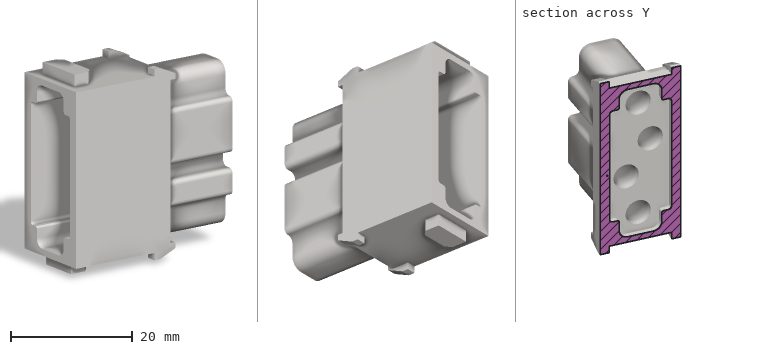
import cadquery as cq

body_width = 14.6
body_depth = 19.1
body_height = 30.2

cavity_width = 11.0
cavity_middle_height = 21.05
cavity_end_width = 7.57
cavity_height = 27.95
cavity_end_radius = 1.45
cavity_ledge_outer_radius = 0.5
cavity_ledge_inner_radius = 0.38
back_wall = (body_width - cavity_width) / 2
cavity_depth = body_depth - back_wall

overall_depth = 32.6
block_width = 11.75
block_middle_height = 16.82
block_end_width = 7.77
block_height = 27.95
block_end_radius = 2.1
block_outer_radius = 0.83
block_inner_radius = 1.1

groove_z = 2.5
groove_height = 2.75
groove_floor_x = 3.15

bore_diameter = 4.5
bore_pair_centres = [(0, 10.42), (2.15, 3.13)]

overall_height = 34.4
top_lug_width = 9.0
bottom_lug_width = 7.02
lug_front_y = 1.65
lug_back_y = 5.45
lug_chamfer = 1.0

clip_width = 1.72
clip_front_y = 15.8
clip_ridge_y = 17.0
clip_back_y = 20.02
clip_top_z = 16.35
clip_tip_z = 15.0
clip_underside_z = block_height / 2

TOLERANCE = 0.005


def slab(width, height, start_y, end_y):
    """Rectangular block centred on X and Z between two Y positions."""
    return (
        cq.Workplane("XZ", origin=(0, start_y, 0))
        .rect(width, height)
        .extrude(start_y - end_y)
    )


def round_edges(solid, half_width, radius, max_z):
    """Fillet the Y-parallel edges at |X| = half_width that lie within |Z| < max_z."""

    def is_wanted(edge):
        centre = edge.Center()
        return abs(abs(centre.x) - half_width) < TOLERANCE and abs(centre.z) < max_z

    return solid.edges("|Y").filter(is_wanted).fillet(radius)


def stepped_block(width, middle_height, end_width, end_height, end_radius, start_y, end_y):
    """Wide middle block joined to a taller, narrower block with rounded corners."""
    middle = slab(width, middle_height, start_y, end_y)
    ends = slab(end_width, end_height, start_y, end_y).edges("|Y").fillet(end_radius)
    return middle.union(ends)


def make_cavity():
    cavity = stepped_block(
        cavity_width, cavity_middle_height, cavity_end_width, cavity_height,
        cavity_end_radius, 0, cavity_depth,
    )
    step_limit = cavity_middle_height / 2 + TOLERANCE
    cavity = round_edges(cavity, cavity_width / 2, cavity_ledge_outer_radius, step_limit)
    return round_edges(cavity, cavity_end_width / 2, cavity_ledge_inner_radius, step_limit)


def make_contact_block():
    block = stepped_block(
        block_width, block_middle_height, block_end_width, block_height,
        block_end_radius, body_depth, overall_depth,
    )
    groove_depth = block_width / 2 - groove_floor_x
    groove_x = groove_floor_x + groove_depth / 2
    for side in (-1, 1):
        groove = slab(groove_depth, groove_height, body_depth, overall_depth)
        block = block.cut(groove.translate((side * groove_x, 0, -side * groove_z)))
    step_limit = block_middle_height / 2 + TOLERANCE
    block = round_edges(block, block_end_width / 2, block_inner_radius, step_limit)
    block = round_edges(block, groove_floor_x, block_inner_radius, step_limit)
    return round_edges(block, block_width / 2, block_outer_radius, step_limit)


def make_lug(width):
    """Upward lug on the top face, with its two rear corners chamfered."""
    return (
        cq.Workplane("XY")
        .rect(width, lug_back_y - lug_front_y)
        .extrude(overall_height / 2)
        .edges("|Z and >Y")
        .chamfer(lug_chamfer)
        .translate((0, (lug_front_y + lug_back_y) / 2, 0))
        .cut(slab(body_width, body_height, 0, body_depth))
    )


def make_clip():
    """Ramped snap clip at the upper right rear corner."""
    profile = [
        (clip_front_y, clip_underside_z),
        (clip_front_y, clip_top_z),
        (clip_ridge_y, clip_top_z),
        (clip_back_y, clip_tip_z),
        (clip_back_y, clip_underside_z),
    ]
    return (
        cq.Workplane("YZ", origin=(body_width / 2 - clip_width, 0, 0))
        .polyline(profile)
        .close()
        .extrude(clip_width)
    )


housing = slab(body_width, body_height, 0, body_depth)
housing = housing.union(make_contact_block())
housing = housing.union(make_lug(top_lug_width))
housing = housing.union(make_lug(bottom_lug_width).mirror("XY"))

right_clips = make_clip().union(make_clip().mirror("XY"))
housing = housing.union(right_clips).union(right_clips.mirror("YZ"))

housing = housing.cut(make_cavity())
for x, z in bore_pair_centres:
    for turn in (-1, 1):
        bore = cq.Workplane("XZ").circle(bore_diameter / 2).extrude(-overall_depth)
        housing = housing.cut(bore.translate((turn * x, 0, turn * z)))

result = housing